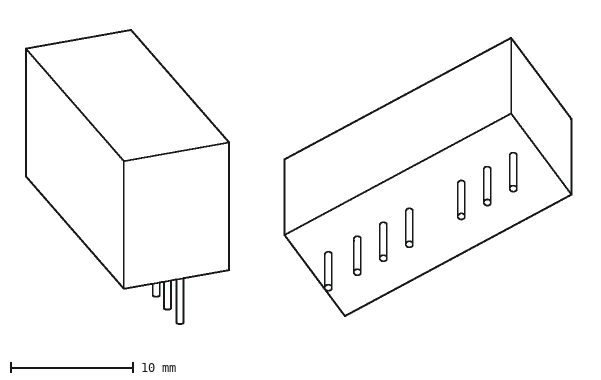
import cadquery as cq

housing_length = 21.8
housing_width = 9.2
total_height = 16.7
pin_length = 5.05
housing_height = total_height - pin_length

pin_diameter = 0.59
pin_row_y = 1.1
pitched_span = 15.0
first_pin_inset = 2.0
last_pin_gap = 2.8
pitch_steps = [0, 1, 2, 4, 5, 6]
pin_pitch = pitched_span / pitch_steps[-1]

first_pin_x = -housing_length / 2 + first_pin_inset
pitched_pin_xs = [first_pin_x + step * pin_pitch for step in pitch_steps]
last_pin_x = pitched_pin_xs[-1] + last_pin_gap
pin_xs = pitched_pin_xs + [last_pin_x]


def make_housing():
    """Plain rectangular block standing on the pin plane."""
    return cq.Workplane("XY").box(
        housing_length, housing_width, housing_height, centered=(True, True, False)
    )


def make_pin(x):
    """Round pin running down from the underside of the housing."""
    return cq.Workplane("XY").center(x, pin_row_y).circle(pin_diameter / 2).extrude(-pin_length)


housing = make_housing()
pins = [make_pin(x) for x in pin_xs]

result = cq.Compound.makeCompound([housing.val(), *[pin.val() for pin in pins]])